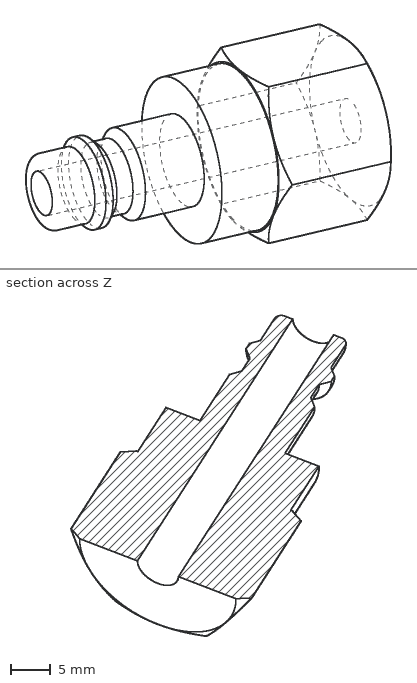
import cadquery as cq
import math

total_length = 44.0
tip_end = 4.95
ridge_start = 6.0
ridge_end = 7.0
groove_start = 8.15
groove_end = 10.45
neck_start = 11.6
collar_start = 19.98
hex_start = 28.0

tip_diameter = 10.0
neck_diameter = 12.0
groove_diameter = 9.75
collar_diameter = 21.55
bore_diameter = 5.7

across_flats = 22.0
across_corners = across_flats / math.cos(math.radians(30))
corner_chamfer_angle = 30.0

tip_rounding = 0.95


def revolve_about_y(profile_points):
    """Revolve a closed (radius, axial position) outline about the Y axis."""
    return cq.Workplane("XY").polyline(profile_points).close().revolve(360, (0, 0), (0, 1))


def make_nipple():
    """Stepped plug with a retaining ridge, a locking groove and a collar."""
    tip_radius = tip_diameter / 2
    neck_radius = neck_diameter / 2
    groove_radius = groove_diameter / 2
    collar_radius = collar_diameter / 2
    nipple = revolve_about_y([
        (0, 0),
        (tip_radius, 0),
        (tip_radius, tip_end),
        (neck_radius, ridge_start),
        (neck_radius, ridge_end),
        (groove_radius, groove_start),
        (groove_radius, groove_end),
        (neck_radius, neck_start),
        (neck_radius, collar_start),
        (collar_radius, collar_start),
        (collar_radius, hex_start),
        (0, hex_start),
    ])
    return nipple.faces("<Y").edges().fillet(tip_rounding)


def make_hex_head():
    """Hexagonal prism whose corners are turned to a cone at both ends."""
    prism = (
        cq.Workplane("XZ", origin=(0, hex_start, 0))
        .polygon(6, across_corners)
        .extrude(-(total_length - hex_start))
    )
    face_radius = across_flats / 2
    corner_radius = across_corners / 2
    chamfer_length = (corner_radius - face_radius) * math.tan(math.radians(corner_chamfer_angle))
    turned_blank = revolve_about_y([
        (0, hex_start),
        (face_radius, hex_start),
        (corner_radius, hex_start + chamfer_length),
        (corner_radius, total_length - chamfer_length),
        (face_radius, total_length),
        (0, total_length),
    ])
    return prism.intersect(turned_blank)


bore = cq.Workplane("XZ").circle(bore_diameter / 2).extrude(-total_length)

result = make_nipple().union(make_hex_head()).cut(bore)